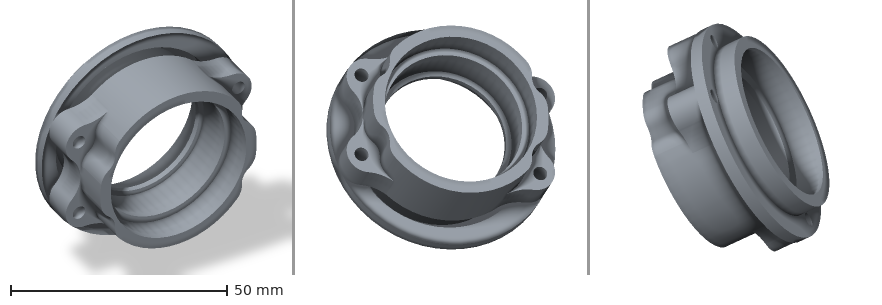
import cadquery as cq
import math

length = 25.0
flange_start = 5.5
flange_end = 8.5
ear_end = 16.0
seat_depth = 7.0
lip_end = flange_end
groove_end = 18.0

rim_radius = 21.5
flange_radius = 27.0
body_radius = 21.0
seat_radius = 18.5
lip_radius = 15.25
groove_radius = 16.5
end_bore_radius = 18.2

hole_radius = 1.7
hole_y = 21.4
hole_z = 10.0
hole_angle = math.atan2(hole_z, hole_y)
hole_pitch_radius = math.hypot(hole_y, hole_z)

scallop_radius = 4.4
scallop_blend = 5.0

lobe_radius = 5.0
lobe_pitch_radius = 22.0
waist_radius = 8.0
ear_flat = 0.5
ear_corner_y = 13.55
ear_root_y = 10.8


def cylinder(start, end, radius):
    """Solid cylinder on the part axis between two X stations."""
    return cq.Workplane("YZ", origin=(start, 0, 0)).circle(radius).extrude(end - start)


def ear_pair():
    """One double-lobed ear on the +Y side, symmetric about Z = 0."""
    lobe_y = lobe_pitch_radius * math.cos(hole_angle)
    lobe_z = lobe_pitch_radius * math.sin(hole_angle)
    center_distance = lobe_radius + waist_radius
    waist_y = lobe_y + math.sqrt(center_distance**2 - lobe_z**2)
    share = lobe_radius / center_distance
    tangent_y = lobe_y + share * (waist_y - lobe_y)
    tangent_z = lobe_z * (1 - share)
    top_z = lobe_z + lobe_radius
    flat_y = lobe_y - ear_flat
    corner_z = math.sqrt(body_radius**2 - ear_corner_y**2)
    return (
        cq.Workplane("YZ", origin=(flange_end, 0, 0))
        .moveTo(ear_root_y, -corner_z)
        .lineTo(ear_root_y, corner_z)
        .lineTo(ear_corner_y, corner_z)
        .radiusArc((flat_y, top_z), shoulder_radius(flat_y, top_z, corner_z))
        .lineTo(lobe_y, top_z)
        .threePointArc((lobe_y + lobe_radius, lobe_z), (tangent_y, tangent_z))
        .threePointArc((waist_y - waist_radius, 0), (tangent_y, -tangent_z))
        .threePointArc((lobe_y + lobe_radius, -lobe_z), (lobe_y, -top_z))
        .lineTo(flat_y, -top_z)
        .radiusArc((ear_corner_y, -corner_z), shoulder_radius(flat_y, top_z, corner_z))
        .close()
        .extrude(ear_end - flange_end)
    )


def shoulder_radius(flat_y, top_z, corner_z):
    """Signed radius of the arc from the ear corner, ending parallel to Y (negative: concave)."""
    run = flat_y - ear_corner_y
    rise = corner_z - top_z
    return -(run**2 + rise**2) / (2 * rise)


def scallop():
    """Cutter for one bolt head clearance, centered on the +Y direction and blended into the body."""
    blend_pitch = body_radius - scallop_blend
    blend_distance = scallop_radius + scallop_blend
    blend_y = (blend_pitch**2 + hole_pitch_radius**2 - blend_distance**2) / (2 * hole_pitch_radius)
    blend_z = math.sqrt(blend_pitch**2 - blend_y**2)
    blend_angle = math.atan2(blend_z, blend_y)
    body_y = body_radius * math.cos(blend_angle)
    body_z = body_radius * math.sin(blend_angle)
    share = scallop_blend / blend_distance
    inner_y = blend_y + share * (hole_pitch_radius - blend_y)
    inner_z = blend_z * (1 - share)
    end_angle = math.atan2(inner_z - blend_z, inner_y - blend_y)
    middle_angle = (blend_angle + end_angle) / 2
    middle_y = blend_y + scallop_blend * math.cos(middle_angle)
    middle_z = blend_z + scallop_blend * math.sin(middle_angle)
    return (
        cq.Workplane("YZ", origin=(ear_end, 0, 0))
        .moveTo(flange_radius, body_z)
        .lineTo(body_y, body_z)
        .threePointArc((middle_y, middle_z), (inner_y, inner_z))
        .threePointArc((hole_pitch_radius - scallop_radius, 0), (inner_y, -inner_z))
        .threePointArc((middle_y, -middle_z), (body_y, -body_z))
        .lineTo(flange_radius, -body_z)
        .close()
        .extrude(length - ear_end)
    )


result = (
    cylinder(0, flange_start, rim_radius)
    .union(cylinder(flange_start, flange_end, flange_radius))
    .union(cylinder(flange_end, length, body_radius))
)
for side in (0, 180):
    result = result.union(ear_pair().rotate((0, 0, 0), (1, 0, 0), side))

hole_angle_degrees = math.degrees(hole_angle)
for side in (0, 180):
    for angle in (side - hole_angle_degrees, side + hole_angle_degrees):
        result = result.cut(scallop().rotate((0, 0, 0), (1, 0, 0), angle))

result = result.cut(cylinder(0, seat_depth, seat_radius))
result = result.cut(cylinder(0, lip_end, lip_radius))
result = result.cut(cylinder(lip_end, groove_end, groove_radius))
result = result.cut(cylinder(groove_end, length, end_bore_radius))

holes = (
    cq.Workplane("YZ")
    .rect(2 * hole_y, 2 * hole_z, forConstruction=True)
    .vertices()
    .circle(hole_radius)
    .extrude(length)
)
result = result.cut(holes)